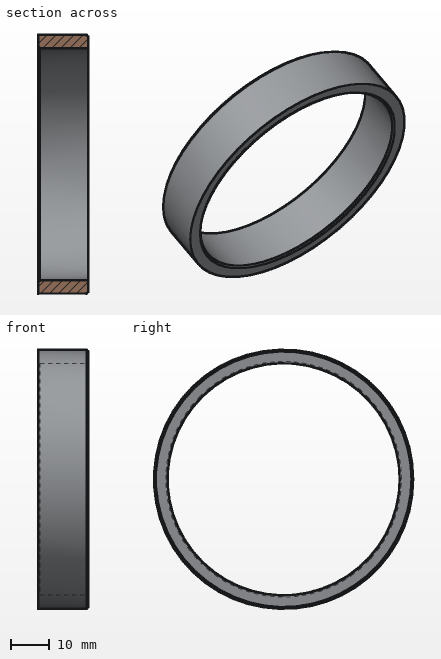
import cadquery as cq

outer_diameter = 67.05
bore_diameter = 59.95
width = 13.0
chamfer_size = 0.5

ring = (
    cq.Workplane("YZ")
    .circle(outer_diameter / 2)
    .circle(bore_diameter / 2)
    .extrude(width)
)

ring = ring.faces("<X").edges(cq.selectors.RadiusNthSelector(0)).chamfer(chamfer_size)
result = ring.faces(">X").edges(cq.selectors.RadiusNthSelector(-1)).chamfer(chamfer_size)